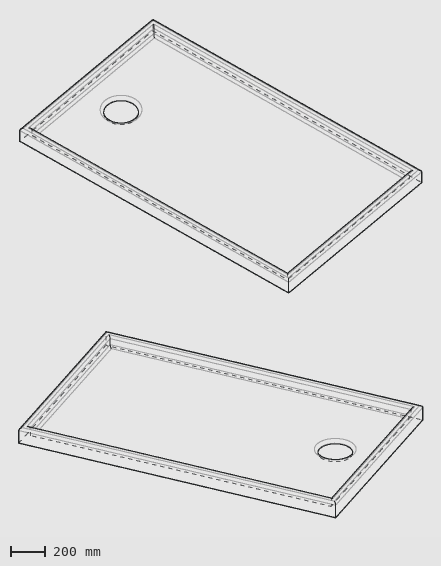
import cadquery as cq

length = 2000
width = 1200
height = 100

edge_radius = 15.0
rim_flat = 20
lip_radius = 15.0
cove_radius = 15.0
wall_thickness = edge_radius + rim_flat + lip_radius
basin_depth = 70.0
floor_height = height - basin_depth

drain_diameter = 200
drain_depth = 25.0
drain_edge_radius = 20
drain_x = -700
drain_y = -50.0


def make_body():
    """Solid block with its bottom at Z = 0 and its outer top edges rounded."""
    block = cq.Workplane("XY").box(length, width, height, centered=(True, True, False))
    return block.faces(">Z").edges().fillet(edge_radius)


def make_basin():
    """Volume removed for the basin, with rounded edges around the floor."""
    basin = (
        cq.Workplane("XY")
        .workplane(offset=floor_height)
        .rect(length - 2 * wall_thickness, width - 2 * wall_thickness)
        .extrude(basin_depth)
    )
    return basin.faces("<Z").edges().fillet(cove_radius)


def make_drain():
    """Volume removed for the drain, flaring out in a quarter round to the floor."""
    radius = drain_diameter / 2
    bottom = floor_height - drain_depth
    arc_start = floor_height - drain_edge_radius
    mouth_radius = radius + drain_edge_radius
    return (
        cq.Workplane("XZ")
        .moveTo(0, bottom)
        .lineTo(radius, bottom)
        .lineTo(radius, arc_start)
        .radiusArc((mouth_radius, floor_height), drain_edge_radius)
        .lineTo(0, floor_height)
        .close()
        .revolve(360, (0, 0, 0), (0, 1, 0))
        .translate((drain_x, drain_y, 0))
    )


def round_inner_lip(tray):
    """Round the edges where the flat rim drops into the basin."""
    half_x = length / 2 - edge_radius - rim_flat
    half_y = width / 2 - edge_radius - rim_flat
    opening = cq.selectors.BoxSelector((-half_x, -half_y, floor_height), (half_x, half_y, height + 20))
    return tray.faces(">Z").edges(opening).fillet(lip_radius)


tray = round_inner_lip(make_body().cut(make_basin()))
result = tray.cut(make_drain())